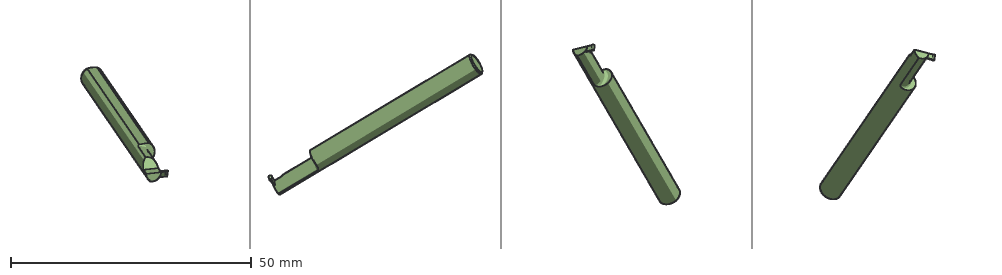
import cadquery as cq
import math

overall_length = 50.8
shank_radius = 2.375
flat_height = 2.125
back_chamfer = 0.3

neck_start = 40.28
neck_radius = 1.92
neck_center_y = -1.1
shoulder_fillet = 0.65

nose_radius = 0.38
stem_half_width = 0.29
nose_x = overall_length - nose_radius
nose_y = shank_radius - nose_radius
tooth_depth = 1.2
relief_angle = 7

head_end = nose_x + stem_half_width
rake_length = 2.18
rake_start = head_end - rake_length
rake_height = 0.0
ramp_angle = 45

oversize = 2 * shank_radius
margin = 1.0
pick_tolerance = 0.01


def make_shank():
    """Full-length round bar with a chamfered back end and a flat on top."""
    bar = cq.Workplane("YZ").circle(shank_radius).extrude(head_end)
    bar = bar.faces("<X").chamfer(back_chamfer)
    above_flat = (
        cq.Workplane("XY", origin=(0, 0, flat_height))
        .rect(2 * (overall_length + margin), 2 * oversize)
        .extrude(oversize)
    )
    return bar.cut(above_flat)


def make_neck_envelope():
    """Block around the shank joined to the neck's round-sided section by a filleted shoulder."""
    block = (
        cq.Workplane("YZ", origin=(-margin, 0, 0))
        .rect(2 * oversize, 2 * oversize)
        .extrude(neck_start + margin)
    )
    neck = (
        cq.Workplane("YZ", origin=(neck_start, 0, 0))
        .moveTo(-oversize, -neck_radius)
        .lineTo(neck_center_y, -neck_radius)
        .threePointArc((neck_center_y + neck_radius, 0), (neck_center_y, neck_radius))
        .lineTo(-oversize, neck_radius)
        .close()
        .extrude(head_end - neck_start + margin)
    )
    envelope = block.union(neck)
    reach = oversize - pick_tolerance
    shoulder = cq.selectors.BoxSelector(
        (neck_start - pick_tolerance, -reach, -reach), (neck_start + pick_tolerance, reach, reach)
    )
    return envelope.edges(shoulder).fillet(shoulder_fillet)


def make_head_cutter():
    """Space above the cutting plane and above the ramp leading down to it."""
    ramp_rise = oversize
    ramp_run = ramp_rise / math.tan(math.radians(ramp_angle))
    return (
        cq.Workplane("XZ", origin=(0, oversize, 0))
        .moveTo(rake_start, rake_height)
        .lineTo(overall_length + margin, rake_height)
        .lineTo(overall_length + margin, rake_height + ramp_rise)
        .lineTo(rake_start - ramp_run, rake_height + ramp_rise)
        .close()
        .extrude(2 * oversize)
    )


def make_tooth():
    """Round-nosed tooth whose sides and tip fall back below the cutting edge."""
    stem_left = nose_x - stem_half_width
    stem_top = nose_y - math.sqrt(nose_radius**2 - stem_half_width**2)
    return (
        cq.Workplane("XY", origin=(0, 0, rake_height))
        .moveTo(stem_left, neck_center_y)
        .lineTo(stem_left, stem_top)
        .threePointArc((nose_x, shank_radius), (head_end, stem_top))
        .lineTo(head_end, neck_center_y)
        .close()
        .extrude(-tooth_depth, taper=relief_angle)
    )


bar = make_shank().intersect(make_neck_envelope()).cut(make_head_cutter())
result = bar.union(make_tooth())